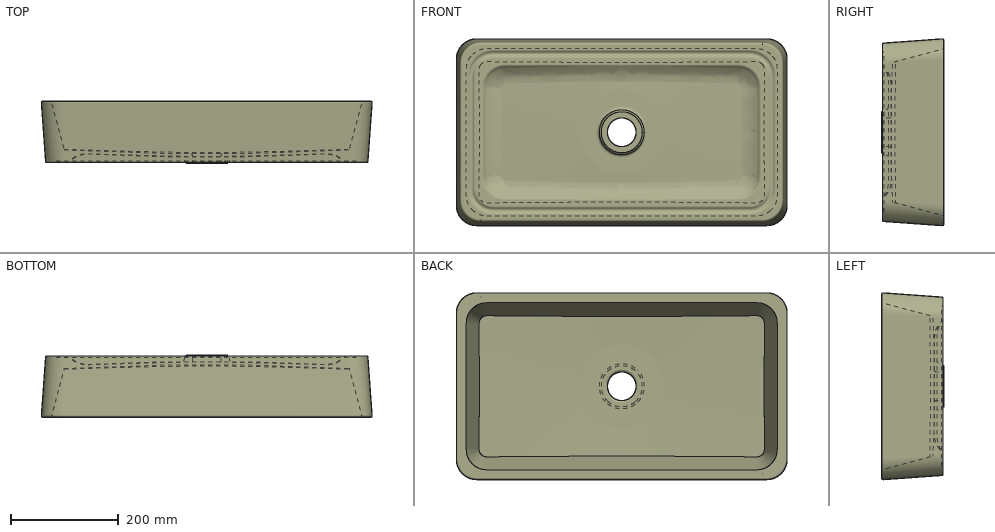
import cadquery as cq
import math

LENGTH = 615.5
WIDTH = 348.0
DEPTH = 116.0
BOSS_STANDOFF = 1.0

CORNER_RADIUS = 38.0
LIP_HEIGHT = 4.0
SIDE_INSET = 8.0
EDGE_FILLET = 3.0

GROOVE_INSET = 28.5
GROOVE_HALF_WIDTH = 8.0
GROOVE_DEPTH = 3.0
GROOVE_CORNER_RADIUS = 41.0

RECESS_INSET = 50.0
RECESS_CORNER_RADIUS = 41.0
RECESS_EDGE_FILLET = 5.0
RECESS_WALL_SLOPE = 44.0
RECESS_FLOOR_FILLET = 40.5

TOLERANCE = 0.5

DRAIN_PAD_RADIUS = 76.5
DRAIN_PAD_BLEND = 4.0
DRAIN_PAD_DEPTH = 11.0
FLOOR_SLOPE = 0.035
BOSS_RADIUS = 38.0
BOSS_SHOULDER_RADIUS = 42.0
BOSS_BASE_RADIUS = 47.5
DRAIN_HOLE_RADIUS = 26.5
DRAIN_HOLE_FLARE = 5.0

BASIN_RIM_WIDTH = 18.5
BASIN_DRAFT = 15.0
FLOOR_THICKNESS = 6.0

RIM_Y = DEPTH / 2
BOSS_Y = -DEPTH / 2
FOOT_Y = BOSS_Y + BOSS_STANDOFF
PAD_Y = FOOT_Y + DRAIN_PAD_DEPTH
BASIN_PAD_Y = PAD_Y + FLOOR_THICKNESS


def outline_sketch(inset, corner_radius):
    """Rounded rectangle set in from the rim outline."""
    return cq.Sketch().rect(LENGTH - 2 * inset, WIDTH - 2 * inset).vertices().fillet(corner_radius)


def rounded_outline(y, inset, corner_radius):
    """Rounded rectangle placed at height y, ready to extrude towards the foot."""
    return cq.Workplane("XZ", origin=(0, y, 0)).placeSketch(outline_sketch(inset, corner_radius))


def swept_ring(profile, inset, corner_radius):
    """Carry a closed XY profile, drawn at the left side (Z = 0), round a rounded rectangle."""
    half_x = LENGTH / 2 - inset
    half_z = WIDTH / 2 - inset
    flat_x = half_x - corner_radius
    flat_z = half_z - corner_radius
    bend = corner_radius * math.sqrt(0.5)
    path = (
        cq.Workplane("XZ", origin=(0, FOOT_Y, 0))
        .moveTo(-half_x, 0)
        .lineTo(-half_x, flat_z)
        .threePointArc((-flat_x - bend, flat_z + bend), (-flat_x, half_z))
        .lineTo(flat_x, half_z)
        .threePointArc((flat_x + bend, flat_z + bend), (half_x, flat_z))
        .lineTo(half_x, -flat_z)
        .threePointArc((flat_x + bend, -flat_z - bend), (flat_x, -half_z))
        .lineTo(-flat_x, -half_z)
        .threePointArc((-flat_x - bend, -flat_z - bend), (-half_x, -flat_z))
        .close()
    )
    return profile.sweep(path)


def floor_half_space(pad_y, end_y):
    """Everything between end_y and a shallow cone falling to a flat round pad at the drain."""
    reach = LENGTH
    cone_radius = DRAIN_PAD_RADIUS + DRAIN_PAD_BLEND
    cone_start_y = pad_y + FLOOR_SLOPE * DRAIN_PAD_BLEND / 2
    cone_end_y = cone_start_y + FLOOR_SLOPE * (reach - cone_radius)
    return (
        cq.Workplane("XY")
        .moveTo(0, end_y)
        .lineTo(reach, end_y)
        .lineTo(reach, cone_end_y)
        .lineTo(cone_radius, cone_start_y)
        .lineTo(DRAIN_PAD_RADIUS, pad_y)
        .lineTo(0, pad_y)
        .close()
        .revolve(360, (0, 0, 0), (0, 1, 0))
    )


def make_body():
    """Straight lip at the rim and sides that lean in to the foot, both edges rounded."""
    lip_y = RIM_Y - LIP_HEIGHT
    lip = rounded_outline(RIM_Y, 0, CORNER_RADIUS).extrude(LIP_HEIGHT)
    lip = lip.faces(">Y").edges().fillet(EDGE_FILLET)
    to_foot = cq.Location(cq.Vector(0, 0, lip_y - FOOT_Y))
    foot_sketch = outline_sketch(SIDE_INSET, CORNER_RADIUS).moved(to_foot)
    sides = (
        cq.Workplane("XZ", origin=(0, lip_y, 0))
        .placeSketch(outline_sketch(0, CORNER_RADIUS), foot_sketch)
        .loft(ruled=True)
    )
    sides = sides.faces("<Y").edges().fillet(EDGE_FILLET)
    return lip.union(sides)


def make_basin():
    """Tapered basin with a floor parallel to the underside recess."""
    height = RIM_Y - BASIN_PAD_Y
    pocket = rounded_outline(RIM_Y, BASIN_RIM_WIDTH, CORNER_RADIUS).extrude(height, taper=BASIN_DRAFT)
    return pocket.intersect(floor_half_space(BASIN_PAD_Y, RIM_Y))


def make_groove():
    """Wavy groove: convex edges running smoothly into a hollow bottom."""
    center = -LENGTH / 2 + GROOVE_INSET
    span = GROOVE_HALF_WIDTH / 2
    rise = GROOVE_DEPTH / 2
    mid_y = FOOT_Y + rise
    slope = 2 * math.atan2(rise, span)
    arc_radius = span / math.sin(slope)
    arc_mid_x = 2 * span - arc_radius * math.sin(slope / 2)
    arc_mid_y = FOOT_Y + arc_radius * (1 - math.cos(slope / 2))
    profile = (
        cq.Workplane("XY")
        .moveTo(center - 2 * span, FOOT_Y)
        .threePointArc((center - arc_mid_x, arc_mid_y), (center - span, mid_y))
        .threePointArc((center, FOOT_Y + GROOVE_DEPTH), (center + span, mid_y))
        .threePointArc((center + arc_mid_x, arc_mid_y), (center + 2 * span, FOOT_Y))
        .lineTo(center + 2 * span, BOSS_Y)
        .lineTo(center - 2 * span, BOSS_Y)
        .close()
    )
    return swept_ring(profile, GROOVE_INSET, GROOVE_CORNER_RADIUS)


def make_recess():
    """Underside recess: sloping walls blended into the shallow cone of the floor."""
    wall_height = 2 * DRAIN_PAD_DEPTH
    walls = (
        rounded_outline(FOOT_Y, RECESS_INSET, RECESS_CORNER_RADIUS)
        .extrude(-wall_height, taper=90 - RECESS_WALL_SLOPE)
    )
    recess = walls.intersect(floor_half_space(PAD_Y, FOOT_Y))
    return recess.edges("%HYPERBOLA or %BSPLINE").fillet(RECESS_FLOOR_FILLET)


def round_recess_edge(body):
    """Round the edge where the recess opens on the foot."""
    half_x = LENGTH / 2 - RECESS_INSET
    half_z = WIDTH / 2 - RECESS_INSET
    near_foot = cq.selectors.BoxSelector(
        (-half_x - TOLERANCE, FOOT_Y - TOLERANCE, -half_z - TOLERANCE),
        (half_x + TOLERANCE, FOOT_Y + TOLERANCE, half_z + TOLERANCE),
    )
    return body.edges(near_foot).fillet(RECESS_EDGE_FILLET)


def make_boss():
    """Chamfered drain boss with a hollow flare where it meets the pad."""
    shoulder_y = BOSS_Y + BOSS_SHOULDER_RADIUS - BOSS_RADIUS
    flare = BOSS_BASE_RADIUS - BOSS_SHOULDER_RADIUS
    bend = flare * (1 - math.sqrt(0.5))
    return (
        cq.Workplane("XY")
        .moveTo(0, BOSS_Y)
        .lineTo(BOSS_RADIUS, BOSS_Y)
        .lineTo(BOSS_SHOULDER_RADIUS, shoulder_y)
        .lineTo(BOSS_SHOULDER_RADIUS, PAD_Y - flare)
        .threePointArc((BOSS_SHOULDER_RADIUS + bend, PAD_Y - bend), (BOSS_BASE_RADIUS, PAD_Y))
        .lineTo(BOSS_BASE_RADIUS, BASIN_PAD_Y)
        .lineTo(0, BASIN_PAD_Y)
        .close()
        .revolve(360, (0, 0, 0), (0, 1, 0))
    )


def make_drain_hole():
    """Round hole through the boss, flared where it leaves the basin."""
    bend = DRAIN_HOLE_FLARE * (1 - math.sqrt(0.5))
    mouth_radius = DRAIN_HOLE_RADIUS + DRAIN_HOLE_FLARE
    return (
        cq.Workplane("XY")
        .moveTo(0, BOSS_Y)
        .lineTo(DRAIN_HOLE_RADIUS, BOSS_Y)
        .lineTo(DRAIN_HOLE_RADIUS, BASIN_PAD_Y - DRAIN_HOLE_FLARE)
        .threePointArc((DRAIN_HOLE_RADIUS + bend, BASIN_PAD_Y - bend), (mouth_radius, BASIN_PAD_Y))
        .lineTo(0, BASIN_PAD_Y)
        .close()
        .revolve(360, (0, 0, 0), (0, 1, 0))
    )


result = make_body().cut(make_recess())
result = round_recess_edge(result)
result = result.cut(make_groove()).cut(make_basin())
result = result.union(make_boss()).cut(make_drain_hole())